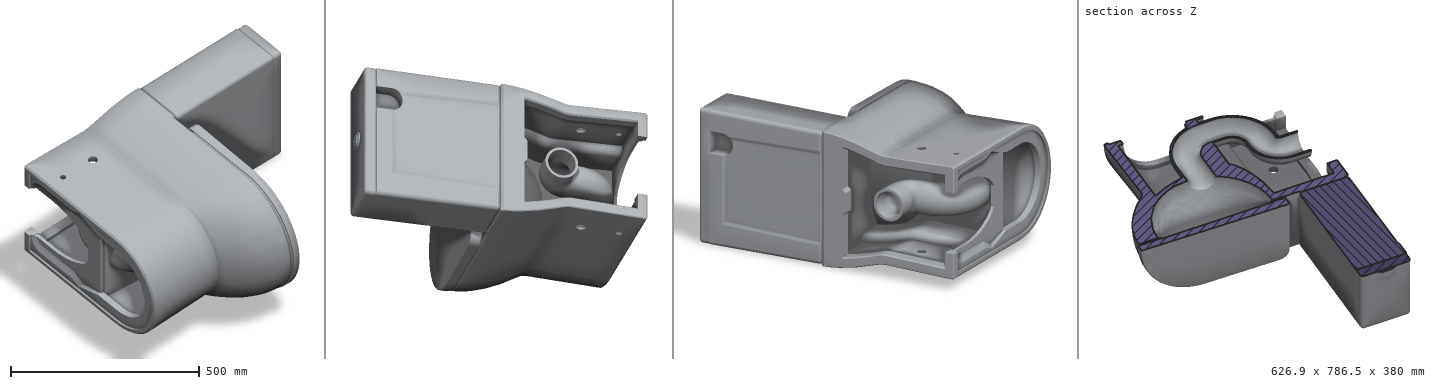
import cadquery as cq
import math


floor_half = 159.0
floor_front = 529.5
neck_half = 153.0
neck_front = 524.5
rim_half = 189.98
rim_front = 622.0
neck_height = 211.0
bulb_foot_half = 155.0
bulb_foot_front = 526.5
bulb_foot_height = 227.0
rim_edge_height = 395.0
rim_height = 400.0
rim_inset = 3.0
side_bulge_power = 1.6
front_bulge_power = 2.0
bulb_sections = 6
floor_chamfer = 5.0
rear_chamfer = 2.5
platform_length = 143.0
platform_height = 405.0
platform_round = 8.0

rear_wall = 31.0
cavity_top = 374.0
cavity_bottom = 24.0
cavity_inset = 19.0
step_position = 164.0
step_width = 24.0
step_round = 20.0
step_sections = 6
front_cavity_half = 125.0
front_cavity_top = 330.0
round_center = floor_front - floor_half

partition_rear = 264.0
partition_front_foot = 300.0
partition_front_head = 320.0
partition_head_height = 230.0

opening_top = 340.0
opening_bottom = 27.0
opening_inset = 30.0
opening_chamfer = 4.0
pad_half = 37.0
pad_flat_half = 28.0
pad_drop = 9.0
notch_half = 86.5

recess_inset = 15.5
recess_rear = 21.7
recess_depth = 6.0
pocket_height = 15.0
front_opening_half = 110.0
front_opening_rear = 293.0
arch_half = 89.5
arch_rear = 29.0
arch_bend = 101.0
arch_shoulder = 216.0
arch_shoulder_half = 57.0
arch_front = 243.0
arch_tip_half = 30.0
pocket_half = 126.0
pocket_slope = 18.0
pocket_rear = 24.0
pocket_corner = 34.0
pocket_bend = 185.0
pocket_peak = 215.0
pocket_peak_half = 136.0

hole_position = 101.0
upper_hole_height = 155.0
upper_hole_diameter = 26.0
lower_hole_height = 50.0
lower_hole_diameter = 17.0

bowl_center = 300.0
bowl_front_radius = 310.0
bowl_rear_radius = 92.0
bowl_depth = 200.0
bowl_half_width = 170.0
basin_center = 395.0
basin_radii = (170.0, 170.0, 140.0)

pipe_radius = 45.0
pipe_bore_radius = 38.0
pipe_rear = 44.0
outlet_height = 224.0
trap_height = 80.0
trap_drop_position = 143.0
trap_rise_position = 355.0
outlet_bend_radius = 47.0
trap_bend_radius = 86.0
trap_head_height = 250.0

cistern_depth = 150.5
cistern_bottom = platform_height
cistern_top = 748.0
cistern_half_top = rim_half
cistern_half_bottom = 187.0
cistern_edge_round = 11.0
cistern_foot_chamfer = 6.0
joint_chamfer = 2.0
panel_depth = 3.0
panel_slope = 9.0
panel_top = 706.0
panel_half_top = 125.0
panel_half_bottom = 133.0
inlet_center = 100.0
inlet_radius = 32.0
inlet_round_height = 707.0
inlet_depth = 40.0

lid_rear = 2.5
lid_top = 779.0
lid_top_round = 9.0
button_position = 76.0
bezel_radius = 24.7
bezel_top = 783.0
button_radius = 16.5
button_top = 786.5

seat_rear = 201.0
seat_front = 622.0
seat_half = 186.0
seat_top = 405.0
seat_hole_margin = 8.0
cover_rear = 190.0
cover_front = 626.94
cover_half = 189.0
cover_rear_top = 433.0
cover_front_top = 426.0
rear_corner_radius = 29.0
cover_edge_round = 3.0


def plan(height):
    """Horizontal workplane at a height, with its first axis along X."""
    return cq.Workplane(cq.Plane(origin=(0, height, 0), xDir=(1, 0, 0), normal=(0, 1, 0)))


def section(position):
    """Upright workplane across the toilet: its axes are Y and Z."""
    return cq.Workplane("YZ", origin=(position, 0, 0))


def u_outline(height, half, front, rear=0.0):
    center = front - half
    return (
        plan(height)
        .moveTo(rear, -half)
        .lineTo(center, -half)
        .threePointArc((front, 0), (center, half))
        .lineTo(rear, half)
        .close()
    )


def u_prism(bottom, top, half, front, rear=0.0):
    return u_outline(bottom, half, front, rear).extrude(top - bottom)


def u_loft(levels, ruled=False):
    """Loft through (height, half width, front) levels."""
    wires = [u_outline(*level).wires().val() for level in levels]
    return cq.Workplane(cq.Solid.makeLoft(wires, ruled))


def bulb_level(fraction):
    """Level of the bulging upper part, at a fraction of its height below the rim edge."""
    height = rim_edge_height - fraction * (rim_edge_height - bulb_foot_height)
    half = rim_half - (rim_half - bulb_foot_half) * fraction**side_bulge_power
    front = rim_front - (rim_front - bulb_foot_front) * fraction**front_bulge_power
    return height, half, front


def bulb_half(height):
    return bulb_level((rim_edge_height - height) / (rim_edge_height - bulb_foot_height))[1]


def bowl_half(direction, length):
    """Front (1) or rear (-1) half of the outer bowl, running a length from the bowl center."""
    scale = cq.Matrix([
        [0, direction * length, 0, bowl_center],
        [0, 0, bowl_depth, rim_height],
        [direction * bowl_half_width, 0, 0, 0],
    ])
    half_ball = cq.Workplane("XY").sphere(1, angle3=180).val()
    return cq.Workplane(half_ball.transformGeometry(scale))


def basin():
    """Hollow of the bowl."""
    scale = cq.Matrix([
        [basin_radii[0], 0, 0, basin_center],
        [0, basin_radii[1], 0, rim_height],
        [0, 0, basin_radii[2], 0],
    ])
    ball = cq.Workplane("XY").sphere(1).val()
    return cq.Workplane(ball.transformGeometry(scale))


def base_shell():
    sole = (0.0, floor_half - floor_chamfer, floor_front - floor_chamfer)
    foot = (floor_chamfer, floor_half, floor_front)
    neck = (neck_height, neck_half, neck_front)
    pedestal = u_loft([sole, foot, neck, bulb_level(1)], ruled=True)
    bulb = u_loft([bulb_level(1 - i / (bulb_sections - 1)) for i in range(bulb_sections)])
    rim_edge = (rim_edge_height, rim_half, rim_front)
    rim = u_loft([rim_edge, (rim_height, rim_half - rim_inset, rim_front - rim_inset)], ruled=True)
    platform = (
        plan(rim_edge_height)
        .rect(platform_length, 2 * rim_half)
        .extrude(platform_height - rim_edge_height)
        .translate((rear_chamfer + platform_length / 2, 0, 0))
        .edges("|Y and >X")
        .fillet(platform_round)
        .faces(">Y")
        .chamfer(rim_inset)
    )
    return pedestal.union(bulb).union(rim).faces("<X").chamfer(rear_chamfer).union(platform)


def side_profile(position, bottom, top, inset):
    """Closed section of the base, narrowed by an inset on both sides."""
    floor_z = floor_half - inset
    neck_z = neck_half - inset
    bulb_foot_z = bulb_foot_half - inset
    middle = (bulb_foot_height + top) / 2
    middle_z = bulb_half(middle) - inset
    top_z = bulb_half(top) - inset
    return (
        section(position)
        .moveTo(bottom, -floor_z)
        .lineTo(neck_height, -neck_z)
        .lineTo(bulb_foot_height, -bulb_foot_z)
        .threePointArc((middle, -middle_z), (top, -top_z))
        .lineTo(top, top_z)
        .threePointArc((middle, middle_z), (bulb_foot_height, bulb_foot_z))
        .lineTo(neck_height, neck_z)
        .lineTo(bottom, floor_z)
        .close()
    )


def partition():
    slope = (partition_front_head - partition_front_foot) / (partition_head_height - cavity_bottom)
    rise = rim_height - cavity_bottom
    return (
        cq.Workplane("XY")
        .moveTo(partition_rear, cavity_bottom)
        .lineTo(partition_front_foot, cavity_bottom)
        .lineTo(partition_front_foot + slope * rise, rim_height)
        .lineTo(partition_rear, rim_height)
        .close()
        .extrude(rim_half, both=True)
    )


def trap_pipe(radius):
    """Round pipe from the outlet, down through the trap and up into the bowl."""
    drop = trap_drop_position
    rise = trap_rise_position
    small = outlet_bend_radius
    large = trap_bend_radius
    path = (
        cq.Workplane("XY")
        .moveTo(pipe_rear, outlet_height)
        .lineTo(drop - small, outlet_height)
        .tangentArcPoint((drop, outlet_height - small), relative=False)
        .lineTo(drop, trap_height + large)
        .tangentArcPoint((drop + large, trap_height), relative=False)
        .lineTo(rise - large, trap_height)
        .tangentArcPoint((rise, trap_height + large), relative=False)
        .lineTo(rise, trap_head_height)
    )
    return section(pipe_rear).center(outlet_height, 0).circle(radius).sweep(path)


def base_cavities():
    """Hollow space inside the base, around the partition, the bowl and the trap pipe."""
    rear = side_profile(rear_wall, cavity_bottom, cavity_top, cavity_inset).extrude(
        step_position - rear_wall
    )
    middle = side_profile(
        step_position, cavity_bottom, cavity_top, cavity_inset + step_width
    ).extrude(partition_rear - step_position)
    front = u_prism(
        cavity_bottom,
        front_cavity_top,
        front_cavity_half,
        round_center + front_cavity_half,
        partition_front_foot,
    )
    rounding_wires = []
    for i in range(step_sections):
        angle = math.pi / 2 * i / (step_sections - 1)
        position = step_position + step_round * (1 - math.cos(angle))
        inset = cavity_inset + step_width - step_round * (1 - math.sin(angle))
        rounding_wires.append(side_profile(position, cavity_bottom, cavity_top, inset).wires().val())
    rounding = cq.Workplane(cq.Solid.makeLoft(rounding_wires, True))
    return (
        rear.union(middle)
        .union(rounding)
        .union(front)
        .cut(partition())
        .cut(bowl_half(1, bowl_front_radius))
        .cut(bowl_half(-1, bowl_rear_radius))
        .cut(trap_pipe(pipe_radius))
    )


def rear_opening():
    pad = (
        section(0)
        .moveTo(opening_top, -pad_half)
        .lineTo(opening_top - pad_drop, -pad_flat_half)
        .lineTo(opening_top - pad_drop, pad_flat_half)
        .lineTo(opening_top, pad_half)
        .close()
        .extrude(rear_wall)
    )
    opening = side_profile(0, opening_bottom, opening_top, opening_inset).extrude(rear_wall)
    mouth_wires = [
        side_profile(0, opening_bottom, opening_top, opening_inset - opening_chamfer).wires().val(),
        side_profile(opening_chamfer, opening_bottom, opening_top, opening_inset).wires().val(),
    ]
    mouth = cq.Workplane(cq.Solid.makeLoft(mouth_wires, True))
    notch = cq.Workplane("XY").box(
        rear_wall, opening_bottom, 2 * notch_half, centered=(False, False, True)
    )
    return opening.union(mouth).cut(pad).union(notch)


def pocket_outline(height, half):
    """Outline of the raised part of the floor plate; only its straight flanks follow the half width."""
    corner = pocket_rear + pocket_corner
    shift = pocket_half - half
    outline = (
        plan(height)
        .moveTo(pocket_rear + shift / 2, -arch_half)
        .threePointArc(
            (pocket_rear + shift / 2 + pocket_corner * (1 - math.sqrt(0.5)),
             -arch_half - (half - arch_half) * math.sqrt(0.5)),
            (corner, -half),
        )
        .lineTo(pocket_bend, -half)
        .lineTo(pocket_peak + shift / 2, -pocket_peak_half + shift / 2)
        .lineTo(front_opening_rear, -front_opening_half)
        .lineTo(front_opening_rear, front_opening_half)
        .lineTo(pocket_peak + shift / 2, pocket_peak_half - shift / 2)
        .lineTo(pocket_bend, half)
        .lineTo(corner, half)
    )
    return outline.threePointArc(
        (pocket_rear + shift / 2 + pocket_corner * (1 - math.sqrt(0.5)),
         arch_half + (half - arch_half) * math.sqrt(0.5)),
        (pocket_rear + shift / 2, arch_half),
    ).close()


def floor_plate_cuts():
    recess_half = floor_half - recess_inset
    recess = u_prism(0, recess_depth, recess_half, floor_front - recess_inset, recess_rear)
    wires = [
        pocket_outline(recess_depth, pocket_half).wires().val(),
        pocket_outline(pocket_height, pocket_half - pocket_slope).wires().val(),
    ]
    pocket = cq.Workplane(cq.Solid.makeLoft(wires, True))
    front_opening = u_prism(
        0, cavity_bottom, front_opening_half, round_center + front_opening_half, front_opening_rear
    )
    arch_side = (
        plan(0)
        .moveTo(arch_rear, 0)
        .lineTo(arch_rear, arch_half)
        .lineTo(arch_bend, arch_half)
        .tangentArcPoint((arch_shoulder, arch_shoulder_half), relative=False)
        .tangentArcPoint((arch_front, arch_tip_half), relative=False)
        .lineTo(arch_front, 0)
        .close()
        .extrude(cavity_bottom)
    )
    arch = arch_side.union(arch_side.mirror("XY"))
    return recess.union(pocket).union(front_opening).union(arch)


def fixing_hole(height, diameter):
    return (
        cq.Workplane("XY")
        .center(hole_position, height)
        .circle(diameter / 2)
        .extrude(rim_half, both=True)
    )


def make_base():
    base = (
        base_shell()
        .cut(base_cavities())
        .cut(rear_opening())
        .cut(floor_plate_cuts())
        .cut(basin())
        .cut(trap_pipe(pipe_bore_radius))
    )
    pipe = trap_pipe(pipe_radius)
    for height, diameter in (
        (upper_hole_height, upper_hole_diameter),
        (lower_hole_height, lower_hole_diameter),
    ):
        base = base.cut(fixing_hole(height, diameter).cut(pipe))
    return base


def cistern_panel():
    """Shallow sloped-edge recess in the back of the cistern, open at the bottom."""

    def outline(position, shrink, bottom):
        return (
            section(position)
            .moveTo(bottom, -panel_half_bottom + shrink)
            .lineTo(panel_top - shrink, -panel_half_top + shrink)
            .lineTo(panel_top - shrink, panel_half_top - shrink)
            .lineTo(bottom, panel_half_bottom - shrink)
            .close()
            .wires()
            .val()
        )

    outer = outline(0, 0, cistern_bottom)
    inner = outline(panel_depth, panel_slope, cistern_bottom + cistern_foot_chamfer)
    return cq.Workplane(cq.Solid.makeLoft([outer, inner], True))


def make_cistern():
    body = (
        section(0)
        .moveTo(cistern_bottom, -cistern_half_bottom)
        .lineTo(cistern_top, -cistern_half_top)
        .lineTo(cistern_top, cistern_half_top)
        .lineTo(cistern_bottom, cistern_half_bottom)
        .close()
        .extrude(cistern_depth)
        .edges("not(#Y or |Z)")
        .edges("not |X")
        .fillet(cistern_edge_round)
    )
    body = body.faces("<Y").chamfer(cistern_foot_chamfer).faces(">Y").chamfer(joint_chamfer)
    inlet = (
        section(0)
        .center(inlet_round_height, inlet_center)
        .circle(inlet_radius)
        .extrude(inlet_depth)
        .union(
            section(0)
            .center((inlet_round_height + cistern_top) / 2, inlet_center)
            .rect(cistern_top - inlet_round_height, 2 * inlet_radius)
            .extrude(inlet_depth)
        )
    )
    return body.cut(cistern_panel()).cut(inlet)


def make_lid():
    length = cistern_depth - lid_rear
    return (
        plan(cistern_top)
        .center(lid_rear + length / 2, 0)
        .rect(length, 2 * cistern_half_top)
        .extrude(lid_top - cistern_top)
        .edges("|Y")
        .fillet(cistern_edge_round)
        .faces(">Y")
        .fillet(lid_top_round)
        .faces("<Y")
        .chamfer(joint_chamfer)
    )


def make_bezel():
    return (
        plan(lid_top)
        .center(button_position, 0)
        .circle(bezel_radius)
        .circle(button_radius)
        .extrude(bezel_top - lid_top)
    )


def make_button():
    return plan(lid_top).center(button_position, 0).circle(button_radius).extrude(button_top - lid_top)


def make_seat():
    hole = (
        plan(rim_height)
        .center(basin_center, 0)
        .ellipse(basin_radii[0] - seat_hole_margin, basin_radii[2] - seat_hole_margin)
        .extrude(seat_top - rim_height)
    )
    return (
        u_prism(rim_height, seat_top, seat_half, seat_front, seat_rear)
        .edges("|Y and <X")
        .fillet(rear_corner_radius)
        .cut(hole)
    )


def make_cover():
    above = (
        cq.Workplane("XY")
        .moveTo(cover_rear, cover_rear_top)
        .lineTo(cover_front, cover_front_top)
        .lineTo(cover_front, cover_rear_top)
        .close()
        .extrude(rim_half, both=True)
    )
    return (
        u_prism(seat_top, cover_rear_top, cover_half, cover_front, cover_rear)
        .edges("|Y and <X")
        .fillet(rear_corner_radius)
        .cut(above)
        .faces(">Y")
        .edges()
        .fillet(cover_edge_round)
    )


base = make_base()
cistern = make_cistern()
lid = make_lid()
bezel = make_bezel()
button = make_button()
seat = make_seat()
cover = make_cover()

result = cq.Compound.makeCompound([
    base.val(),
    cistern.val(),
    lid.val(),
    bezel.val(),
    button.val(),
    seat.val(),
    cover.val(),
])